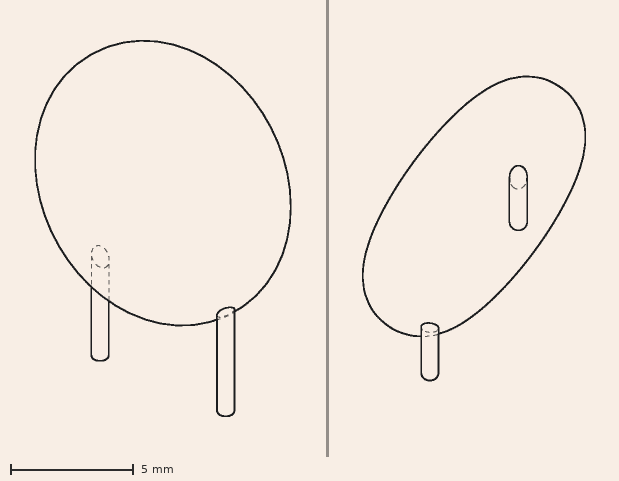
import cadquery as cq

disc_diameter = 12.0
disc_thickness = 4.0
rim_land = 0.1
edge_radius = (disc_thickness - rim_land) / 2

lead_diameter = 0.72
lead_pitch = 7.5
lead_stagger = 1.45
lead_drop = 3.03
lead_tip_radius = lead_diameter / 4
lead_top_z = -disc_diameter / 4
lead_bottom_z = -disc_diameter / 2 - lead_drop


def make_disc():
    """Flat disc with both rim edges fully rounded up to the narrow land."""
    return (
        cq.Workplane("XZ", origin=(0, disc_thickness / 2, 0))
        .circle(disc_diameter / 2)
        .extrude(disc_thickness)
        .edges("%CIRCLE")
        .fillet(edge_radius)
    )


def make_lead(x, y):
    """Vertical wire rising into the disc, with a rounded lower tip."""
    return (
        cq.Workplane("XY", origin=(x, y, lead_bottom_z))
        .circle(lead_diameter / 2)
        .extrude(lead_top_z - lead_bottom_z)
        .faces("<Z")
        .edges()
        .fillet(lead_tip_radius)
    )


result = make_disc()
for side in (-1, 1):
    result = result.union(make_lead(side * lead_pitch / 2, -side * lead_stagger / 2))